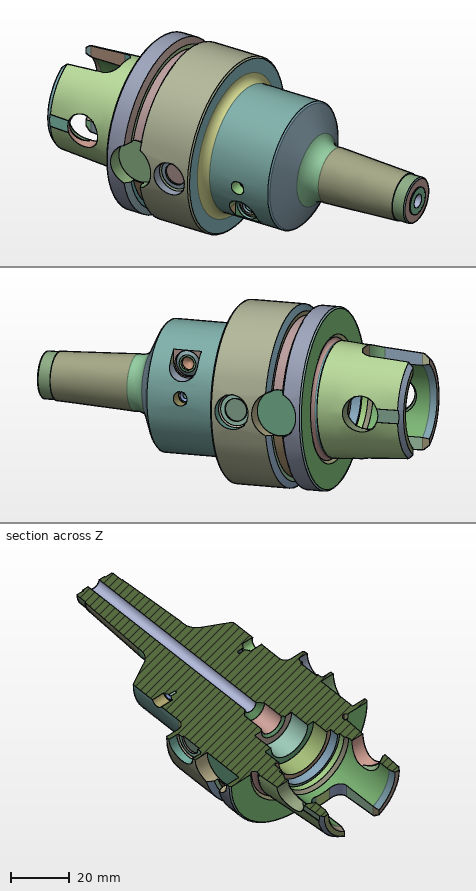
import cadquery as cq
import math


TIP_CHAMFER_LENGTH = 1.8
TIP_FACE_RADIUS = 17.1
TAPER_START_RADIUS = 18.4
TAPER_END_RADIUS = 20.1
TAPER_END_X = 30.4
NECK_X = 31.2
NECK_RADIUS = 19.7

FLANGE_X = 31.9
FLANGE_END_X = 65.0
FLANGE_RADIUS = 31.5
FLANGE_CHAMFER = 0.5
FACE_GROOVE_RADIUS = 22.2
FACE_GROOVE_DEPTH = 0.8
FACE_GROOVE_FLOOR_RADIUS = 21.1
V_GROOVE_START_X = 38.6
V_GROOVE_END_X = 45.1
V_GROOVE_BEVEL_X = 1.2
V_GROOVE_BEVEL_R = 2.3
V_GROOVE_RADIUS = 27.7

BODY_RADIUS = 22.9
BODY_FILLET = 3.0
BODY_END_X = 91.1
BODY_CHAMFER = 0.5
CONE_END_X = 96.7
CONE_END_RADIUS = 13.0
NOSE_X = 103.3
NOSE_RADIUS = 9.9
NOSE_TAPER_END_X = 131.8
NOSE_TAPER_END_RADIUS = 8.5
TIP_RADIUS = 8.2
TIP_CHAMFER = 0.4
TIP_FACE_X = 136.6
RIM_RADIUS = 5.0
TOTAL_LENGTH = 137.0

MOUTH_RADIUS = 15.2
MOUTH_CHAMFER_LENGTH = 2.3
BORE_RADIUS = 14.5
BORE_END_X = 23.0
RELIEF_RADIUS = 13.7
RELIEF_X = 24.5
RELIEF_END_X = 26.7
SEAT_RADIUS = 12.7
SEAT_END_X = 30.1
COUNTERBORE_RADIUS = 11.0
COUNTERBORE_END_X = 37.0
PILOT_RADIUS = 8.4
PILOT_END_X = 45.2
THREAD_MOUTH_RADIUS = 5.5
THREAD_RADIUS = 4.5
THREAD_END_X = 54.8
COOLANT_RADIUS = 2.5
FUNNEL_LENGTH = 2.0

SLOT_WIDTH = 14.5
SLOT_DEPTH = 20.0
SLOT_CORNER_RADIUS = 4.1
SLOT_MOUTH_FLARE = 0.5
SLOT_MOUTH_LENGTH = 2.3

BALL_HOLE_X = 15.1
BALL_HOLE_DIAMETER = 12.5
BALL_RAMP_ANGLE = 30.0
BALL_RAMP_Y = 17.3
BALL_RAMP_LENGTH = 4.1
TRACK_WIDTH = 4.7
TRACK_DEPTH = 0.3

FLANGE_RECESS_X = 41.8
FLANGE_RECESS_DIAMETER = 16.0
FLANGE_RECESS_FLOOR_Y = 26.0
PLUG_X = 57.1
PLUG_DIAMETER = 12.0
PLUG_CHAMFER = 0.5
PLUG_FLOOR_Y = 27.4
PLUG_SOCKET_DIAMETER = 8.0
PLUG_SOCKET_DEPTH = 0.7

POCKET_X = 79.0
POCKET_Z = 11.9
POCKET_WIDTH = 10.0
POCKET_FLOOR_Y = 15.8
SCREW_HEAD_DIAMETER = 9.0
SCREW_HEAD_TOP_DIAMETER = 6.0
SCREW_HEAD_HEIGHT = 1.4
SCREW_SOCKET_DIAMETER = 4.7
SCREW_SOCKET_DEPTH = 1.4
PIN_HOLE_Z = 1.1
PIN_HOLE_DIAMETER = 5.0
PIN_HOLE_FLOOR_Y = 17.8
PIN_SEAT_DIAMETER = 4.0
PIN_CORE_DIAMETER = 2.3
PIN_CORE_LENGTH = 2.7
DRILL_POINT_ANGLE = 118.0


def taper_radius(x):
    """Radius of the shank taper at position x."""
    slope = (TAPER_END_RADIUS - TAPER_START_RADIUS) / (TAPER_END_X - TIP_CHAMFER_LENGTH)
    return TAPER_START_RADIUS + slope * (x - TIP_CHAMFER_LENGTH)


def revolve_about_x(profile):
    return profile.close().revolve(360, (0, 0, 0), (1, 0, 0))


def y_cylinder(x, z, diameter, y_inner, y_outer):
    return cq.Workplane(
        cq.Solid.makeCylinder(diameter / 2, y_outer - y_inner, cq.Vector(x, y_inner, z), cq.Vector(0, 1, 0))
    )


def y_cone(x, z, inner_diameter, outer_diameter, y_inner, y_outer):
    """Cone along Y that widens from inner_diameter to outer_diameter."""
    return cq.Workplane(
        cq.Solid.makeCone(
            inner_diameter / 2,
            outer_diameter / 2,
            y_outer - y_inner,
            cq.Vector(x, y_inner, z),
            cq.Vector(0, 1, 0),
        )
    )


def on_both_sides(cutter):
    """Cutter on the +Y side plus its half-turn copy on the -Y side."""
    return cutter.union(cutter.rotate((0, 0, 0), (1, 0, 0), 180))


def outer_body():
    fillet_diagonal = BODY_FILLET * (1 - math.sqrt(0.5))
    profile = (
        cq.Workplane("XY")
        .lineTo(0, TIP_FACE_RADIUS)
        .lineTo(TIP_CHAMFER_LENGTH, TAPER_START_RADIUS)
        .lineTo(TAPER_END_X, TAPER_END_RADIUS)
        .lineTo(TAPER_END_X, NECK_RADIUS)
        .lineTo(NECK_X, NECK_RADIUS)
        .tangentArcPoint((FLANGE_X + FACE_GROOVE_DEPTH, FACE_GROOVE_FLOOR_RADIUS), relative=False)
        .lineTo(FLANGE_X, FACE_GROOVE_RADIUS)
        .lineTo(FLANGE_X, FLANGE_RADIUS - FLANGE_CHAMFER)
        .lineTo(FLANGE_X + FLANGE_CHAMFER, FLANGE_RADIUS)
        .lineTo(V_GROOVE_START_X, FLANGE_RADIUS)
        .lineTo(V_GROOVE_START_X + V_GROOVE_BEVEL_X, FLANGE_RADIUS - V_GROOVE_BEVEL_R)
        .lineTo(V_GROOVE_START_X + V_GROOVE_BEVEL_X, V_GROOVE_RADIUS)
        .lineTo(V_GROOVE_END_X - V_GROOVE_BEVEL_X, V_GROOVE_RADIUS)
        .lineTo(V_GROOVE_END_X - V_GROOVE_BEVEL_X, FLANGE_RADIUS - V_GROOVE_BEVEL_R)
        .lineTo(V_GROOVE_END_X, FLANGE_RADIUS)
        .lineTo(FLANGE_END_X - FLANGE_CHAMFER, FLANGE_RADIUS)
        .lineTo(FLANGE_END_X, FLANGE_RADIUS - FLANGE_CHAMFER)
        .lineTo(FLANGE_END_X, BODY_RADIUS + BODY_FILLET)
        .threePointArc(
            (FLANGE_END_X + fillet_diagonal, BODY_RADIUS + fillet_diagonal),
            (FLANGE_END_X + BODY_FILLET, BODY_RADIUS),
        )
        .lineTo(BODY_END_X, BODY_RADIUS)
        .lineTo(BODY_END_X + BODY_CHAMFER, BODY_RADIUS - BODY_CHAMFER)
        .lineTo(CONE_END_X, CONE_END_RADIUS)
        .tangentArcPoint((NOSE_X, NOSE_RADIUS), relative=False)
        .lineTo(NOSE_TAPER_END_X, NOSE_TAPER_END_RADIUS)
        .lineTo(NOSE_TAPER_END_X, TIP_RADIUS)
        .lineTo(TIP_FACE_X - TIP_CHAMFER, TIP_RADIUS)
        .lineTo(TIP_FACE_X, TIP_RADIUS - TIP_CHAMFER)
        .lineTo(TIP_FACE_X, RIM_RADIUS)
        .lineTo(TOTAL_LENGTH, RIM_RADIUS)
        .lineTo(TOTAL_LENGTH, 0)
    )
    return revolve_about_x(profile)


def axial_bore():
    profile = (
        cq.Workplane("XY")
        .lineTo(0, MOUTH_RADIUS)
        .lineTo(MOUTH_CHAMFER_LENGTH, BORE_RADIUS)
        .lineTo(BORE_END_X, BORE_RADIUS)
        .lineTo(RELIEF_X, RELIEF_RADIUS)
        .lineTo(RELIEF_END_X, RELIEF_RADIUS)
        .lineTo(RELIEF_END_X, SEAT_RADIUS)
        .lineTo(SEAT_END_X, SEAT_RADIUS)
        .lineTo(SEAT_END_X, COUNTERBORE_RADIUS)
        .lineTo(COUNTERBORE_END_X, COUNTERBORE_RADIUS)
        .lineTo(COUNTERBORE_END_X, PILOT_RADIUS)
        .lineTo(PILOT_END_X, PILOT_RADIUS)
        .lineTo(PILOT_END_X, THREAD_MOUTH_RADIUS)
        .lineTo(PILOT_END_X + THREAD_MOUTH_RADIUS - THREAD_RADIUS, THREAD_RADIUS)
        .lineTo(THREAD_END_X, THREAD_RADIUS)
        .lineTo(THREAD_END_X + FUNNEL_LENGTH, COOLANT_RADIUS)
        .lineTo(TOTAL_LENGTH, COOLANT_RADIUS)
        .lineTo(TOTAL_LENGTH, 0)
    )
    return revolve_about_x(profile)


def drive_slot():
    slot = (
        cq.Workplane("XY")
        .box(2 * SLOT_DEPTH, SLOT_WIDTH, 2 * FLANGE_RADIUS)
        .edges("|Z")
        .fillet(SLOT_CORNER_RADIUS)
    )
    half_width = SLOT_WIDTH / 2
    mouth = (
        cq.Workplane("XY")
        .moveTo(0, -half_width - SLOT_MOUTH_FLARE)
        .lineTo(SLOT_MOUTH_LENGTH, -half_width)
        .lineTo(SLOT_MOUTH_LENGTH, half_width)
        .lineTo(0, half_width + SLOT_MOUTH_FLARE)
        .close()
        .extrude(FLANGE_RADIUS, both=True)
    )
    return slot.union(mouth)


def ball_hole():
    """Radial hole plus an inner bore of the same diameter, inclined towards the shank tip."""
    hole = y_cylinder(BALL_HOLE_X, 0, BALL_HOLE_DIAMETER, 0, FLANGE_RADIUS)
    radius = BALL_HOLE_DIAMETER / 2
    tilt_cos = math.cos(math.radians(BALL_RAMP_ANGLE))
    tilt_sin = math.sin(math.radians(BALL_RAMP_ANGLE))
    start = cq.Vector(BALL_HOLE_X - radius * (1 - tilt_cos), BALL_RAMP_Y - radius * tilt_sin, 0)
    inward = cq.Vector(-tilt_sin, -tilt_cos, 0)
    return hole.union(cq.Workplane(cq.Solid.makeCylinder(radius, BALL_RAMP_LENGTH, start, inward)))


def ball_track():
    """Shallow flat-bottomed track from the shank tip to the ball hole."""
    return (
        cq.Workplane("XY")
        .moveTo(0, taper_radius(0) - TRACK_DEPTH)
        .lineTo(BALL_HOLE_X, taper_radius(BALL_HOLE_X) - TRACK_DEPTH)
        .lineTo(BALL_HOLE_X, FLANGE_RADIUS)
        .lineTo(0, FLANGE_RADIUS)
        .close()
        .extrude(TRACK_WIDTH / 2, both=True)
    )


def plug_hole():
    """Blind hole with a bevelled floor corner and a shallow socket in its floor."""
    bevel_y = PLUG_FLOOR_Y + PLUG_CHAMFER
    floor_diameter = PLUG_DIAMETER - 2 * PLUG_CHAMFER
    bore = y_cylinder(PLUG_X, 0, PLUG_DIAMETER, bevel_y, FLANGE_RADIUS)
    bevel = y_cone(PLUG_X, 0, floor_diameter, PLUG_DIAMETER, PLUG_FLOOR_Y, bevel_y)
    socket = y_cylinder(PLUG_X, 0, PLUG_SOCKET_DIAMETER, PLUG_FLOOR_Y - PLUG_SOCKET_DEPTH, PLUG_FLOOR_Y)
    return bore.union(bevel).union(socket)


def screw_pocket():
    """Round-ended pocket open towards the body rim, with the clamp screw seat."""
    round_end = y_cylinder(POCKET_X, POCKET_Z, POCKET_WIDTH, POCKET_FLOOR_Y, BODY_RADIUS)
    open_end = cq.Workplane("XY").box(
        POCKET_WIDTH, BODY_RADIUS - POCKET_FLOOR_Y, BODY_RADIUS - POCKET_Z, centered=(True, False, False)
    )
    open_end = open_end.translate((POCKET_X, POCKET_FLOOR_Y, POCKET_Z))
    head_base_y = POCKET_FLOOR_Y - SCREW_HEAD_HEIGHT
    seat = y_cylinder(POCKET_X, POCKET_Z, SCREW_HEAD_DIAMETER, head_base_y, POCKET_FLOOR_Y)
    head = y_cone(
        POCKET_X, POCKET_Z, SCREW_HEAD_DIAMETER, SCREW_HEAD_TOP_DIAMETER, head_base_y, POCKET_FLOOR_Y
    )
    socket_floor_y = POCKET_FLOOR_Y - SCREW_SOCKET_DEPTH
    socket = y_cylinder(POCKET_X, POCKET_Z, SCREW_SOCKET_DIAMETER, socket_floor_y, POCKET_FLOOR_Y)
    point_length = SCREW_SOCKET_DIAMETER / 2 / math.tan(math.radians(DRILL_POINT_ANGLE / 2))
    point = y_cone(
        POCKET_X, POCKET_Z, 0, SCREW_SOCKET_DIAMETER, socket_floor_y - point_length, socket_floor_y
    )
    return round_end.union(open_end).union(seat.cut(head)).union(socket).union(point)


def pin_hole():
    """Stepped blind hole whose conical seat narrows to a small core."""
    seat_end_y = PIN_HOLE_FLOOR_Y - (PIN_SEAT_DIAMETER - PIN_CORE_DIAMETER) / 2
    bore = y_cylinder(POCKET_X, PIN_HOLE_Z, PIN_HOLE_DIAMETER, PIN_HOLE_FLOOR_Y, BODY_RADIUS)
    seat = y_cone(POCKET_X, PIN_HOLE_Z, PIN_CORE_DIAMETER, PIN_SEAT_DIAMETER, seat_end_y, PIN_HOLE_FLOOR_Y)
    core = y_cylinder(POCKET_X, PIN_HOLE_Z, PIN_CORE_DIAMETER, seat_end_y - PIN_CORE_LENGTH, seat_end_y)
    return bore.union(seat).union(core)


result = outer_body().cut(axial_bore()).cut(drive_slot())

side_features = [
    ball_hole(),
    ball_track(),
    y_cylinder(FLANGE_RECESS_X, 0, FLANGE_RECESS_DIAMETER, FLANGE_RECESS_FLOOR_Y, FLANGE_RADIUS),
    plug_hole(),
    screw_pocket(),
    pin_hole(),
]
for feature in side_features:
    result = result.cut(on_both_sides(feature))